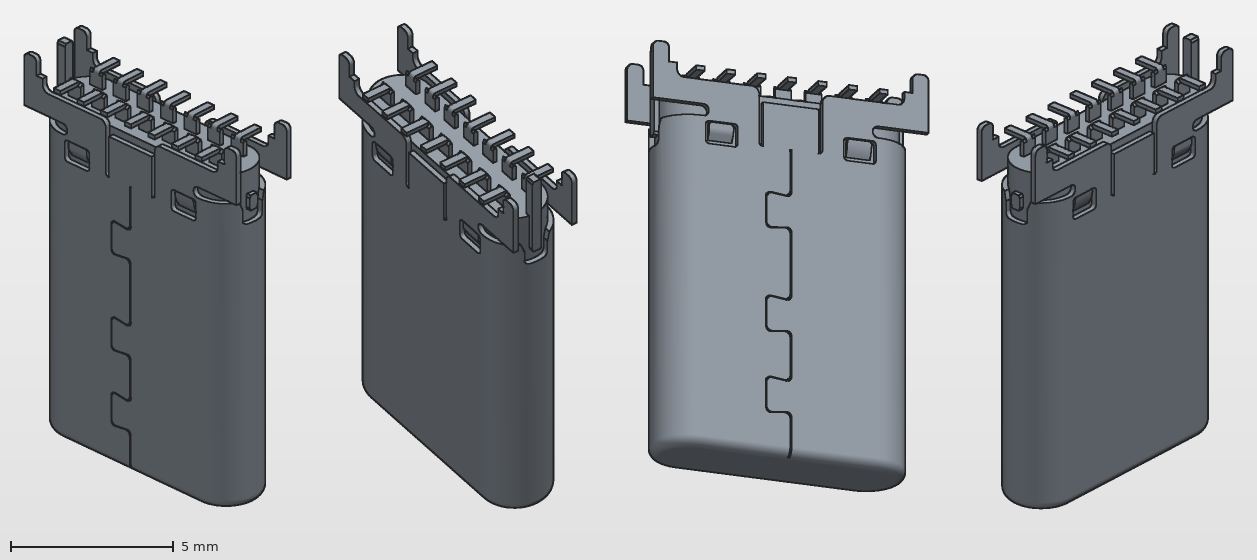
import cadquery as cq
import math

SHELL_WIDTH = 8.28
SHELL_DEPTH = 2.42
SHELL_TOP = 10.8
WALL = 0.18
FOOT_RADIUS = 0.3
CORE_TOP = 11.75
CORE_BOTTOM = 0.4
FACE_Y = SHELL_DEPTH / 2
CORE_Y = FACE_Y - WALL

EAR_HALF_SPAN = 4.53
EAR_TOP = 13.05
EAR_BOTTOM = 11.18
EAR_INNER_X = 4.0
EAR_TIP_RADIUS = 0.18
STEP_X = 3.74
STEP_Z = 12.42
RAIL_TOP = 11.97
RAIL_RADIUS = 0.24
RELIEF_X = 2.69

TONGUE_HALF_WIDTH = 0.91
TONGUE_TOP = 11.48
SLIT_WIDTH = 0.13
SLIT_BOTTOM = 10.05
SLIT_RADIUS = 0.12
SLIT_X = TONGUE_HALF_WIDTH + SLIT_WIDTH

WINDOW_CENTRE_X = 2.27
WINDOW_WIDTH = 1.05
WINDOW_HEIGHT = 0.75
WINDOW_RADIUS = 0.13
LEFT_WINDOW_TOP = 10.65
RIGHT_WINDOW_TOP = 10.68
BARB_WIDTH = 0.79
BARB_HEIGHT = 0.55
BARB_REACH = 0.16
BARB_GAP = 0.03
BARB_CORNER_RADIUS = 0.08
BARB_RAMP_HEIGHT = 0.21
BARB_RAMP_ANGLE = 30
BARB_FLAT = 0.2

SEAM_TOP = 10.05
SEAM_GAP = 0.05
TIP_GAP = 0.03
TOOTH_LENGTH = 0.79
TOOTH_ROOT_HALF = 0.5
TOOTH_TIP_HALF = 0.6
TOOTH_RADIUS = 0.16
TOOTH_CENTRES = (1.95, 4.61, 8.0)

NOTCH_BOTTOM = 9.98
NOTCH_HALF_WIDTH = 0.44
NOTCH_FLARE = 0.1
NOTCH_FLARE_HEIGHT = 0.29
NOTCH_RADIUS = 0.16

BLADE_OUTER_X = 4.1
BLADE_WIDTH = 0.34
BLADE_THICKNESS = 0.33
BLADE_BOTTOM = 10.39
LONG_BLADE_TOP = 13.2
SHORT_BLADE_TOP = 10.93
BLADE_BEVEL_WIDTH = 0.04
BLADE_BEVEL_HEIGHT = 0.09

PIN_COUNT = 7
PIN_PITCH = 1.0
PIN_THICKNESS = 0.15
LEG_INNER_Y = 0.41
LEG_WIDTH = 0.53
ARM_WIDTH = 0.28
ARM_REACH_Y = 1.32
ARM_TOP = 12.37
BEND_RADIUS = 0.12
PIN_EMBED = 0.26


def stadium(width, depth, bottom, top):
    """Upright prism with full-round ends, centred on the Z axis."""
    return cq.Workplane("XY").workplane(offset=bottom).slot2D(width, depth).extrude(top - bottom)


def box_between(x0, x1, y0, y1, z0, z1):
    """Box spanning the given limits."""
    return cq.Workplane("XY").box(x1 - x0, y1 - y0, z1 - z0, centered=False).translate((x0, y0, z0))


def front_sketch():
    """XZ sketch plane on the front face; extruding by -WALL fills the front wall."""
    return cq.Workplane("XZ", origin=(0, -FACE_Y, 0))


def mirrored_x(solid):
    """The solid together with its left-right mirror image."""
    return solid.union(solid.mirror("YZ"))


def front_and_back(solid):
    """The solid together with its front-to-back mirror image."""
    return solid.union(solid.mirror("XZ"))


def ear_plate():
    """Right half of the front wall above the shell, with its ear."""
    tip_cut = EAR_TIP_RADIUS * (1 - math.sqrt(0.5))
    rail_cut = RAIL_RADIUS * (1 - math.sqrt(0.5))
    return (
        front_sketch()
        .moveTo(0, SHELL_TOP)
        .lineTo(EAR_INNER_X, SHELL_TOP)
        .lineTo(EAR_INNER_X, EAR_BOTTOM)
        .lineTo(EAR_HALF_SPAN, EAR_BOTTOM)
        .lineTo(EAR_HALF_SPAN, EAR_TOP - EAR_TIP_RADIUS)
        .threePointArc(
            (EAR_HALF_SPAN - tip_cut, EAR_TOP - tip_cut),
            (EAR_HALF_SPAN - EAR_TIP_RADIUS, EAR_TOP),
        )
        .lineTo(EAR_INNER_X + EAR_TIP_RADIUS, EAR_TOP)
        .threePointArc(
            (EAR_INNER_X + tip_cut, EAR_TOP - tip_cut),
            (EAR_INNER_X, EAR_TOP - EAR_TIP_RADIUS),
        )
        .lineTo(EAR_INNER_X, STEP_Z)
        .lineTo(STEP_X, STEP_Z)
        .lineTo(STEP_X, RAIL_TOP + RAIL_RADIUS)
        .threePointArc(
            (STEP_X - rail_cut, RAIL_TOP + rail_cut),
            (STEP_X - RAIL_RADIUS, RAIL_TOP),
        )
        .lineTo(SLIT_X + RAIL_RADIUS, RAIL_TOP)
        .threePointArc(
            (SLIT_X + rail_cut, RAIL_TOP - rail_cut),
            (SLIT_X, RAIL_TOP - RAIL_RADIUS),
        )
        .lineTo(SLIT_X, TONGUE_TOP)
        .lineTo(0, TONGUE_TOP)
        .close()
        .extrude(-WALL)
    )


def ear_relief():
    """Round-ended slot that separates the ear from the shell top."""
    height = EAR_BOTTOM - SHELL_TOP
    length = 2 * (EAR_HALF_SPAN - RELIEF_X)
    return (
        front_sketch()
        .center(EAR_HALF_SPAN, SHELL_TOP + height / 2)
        .slot2D(length, height)
        .extrude(-WALL)
    )


def tongue_slit():
    """Slit beside the tongue, rounded at its outer lower corner."""
    return (
        box_between(TONGUE_HALF_WIDTH, SLIT_X, -FACE_Y, -CORE_Y, SLIT_BOTTOM, RAIL_TOP)
        .edges("|Y and >X and <Z")
        .fillet(SLIT_RADIUS)
    )


def window(centre_x, top):
    """Rounded rectangular opening through the front wall."""
    return (
        front_sketch()
        .center(centre_x, top - WINDOW_HEIGHT / 2)
        .rect(WINDOW_WIDTH, WINDOW_HEIGHT)
        .extrude(-WALL)
        .edges("|Y")
        .fillet(WINDOW_RADIUS)
    )


def barb_sketch(centre_x):
    """YZ sketch plane at the left side of a barb."""
    return cq.Workplane("YZ", origin=(centre_x - BARB_WIDTH / 2, 0, 0))


def stepped_barb(centre_x, top):
    """Barb with a flat front, a rounded edge and a straight ramp below."""
    bottom = top - BARB_HEIGHT
    slope = math.radians(BARB_RAMP_ANGLE)
    front_y = -CORE_Y - BARB_REACH
    ramp_y = -CORE_Y - BARB_RAMP_HEIGHT * math.tan(slope)
    return (
        barb_sketch(centre_x)
        .moveTo(-CORE_Y, bottom)
        .lineTo(-CORE_Y, top)
        .lineTo(front_y, top)
        .lineTo(front_y, top - BARB_FLAT)
        .tangentArcPoint((ramp_y, bottom + BARB_RAMP_HEIGHT), relative=False)
        .close()
        .extrude(BARB_WIDTH)
        .edges("|Y and >Z")
        .fillet(BARB_CORNER_RADIUS)
    )


def curved_barb(centre_x, top):
    """Barb whose front curves back into the core face."""
    radius = (BARB_REACH**2 + BARB_HEIGHT**2) / (2 * BARB_REACH)
    half_sweep = math.asin(BARB_HEIGHT / radius) / 2
    front_y = -CORE_Y - BARB_REACH
    return (
        barb_sketch(centre_x)
        .moveTo(-CORE_Y, top)
        .lineTo(front_y, top)
        .threePointArc(
            (front_y + radius * (1 - math.cos(half_sweep)), top - radius * math.sin(half_sweep)),
            (-CORE_Y, top - BARB_HEIGHT),
        )
        .close()
        .extrude(BARB_WIDTH)
        .edges("|Y and >Z")
        .fillet(BARB_CORNER_RADIUS)
    )


def notch():
    """Cutter for the flared notches in both shell ends."""
    return (
        cq.Workplane("YZ")
        .moveTo(-NOTCH_HALF_WIDTH, NOTCH_BOTTOM)
        .lineTo(NOTCH_HALF_WIDTH, NOTCH_BOTTOM)
        .lineTo(NOTCH_HALF_WIDTH, SHELL_TOP - NOTCH_FLARE_HEIGHT)
        .lineTo(NOTCH_HALF_WIDTH + NOTCH_FLARE, SHELL_TOP)
        .lineTo(-NOTCH_HALF_WIDTH - NOTCH_FLARE, SHELL_TOP)
        .lineTo(-NOTCH_HALF_WIDTH, SHELL_TOP - NOTCH_FLARE_HEIGHT)
        .close()
        .extrude(SHELL_WIDTH, both=True)
        .edges("|X and <Z")
        .fillet(NOTCH_RADIUS)
    )


def seam_edge(offset_x, tip_x, growth):
    """Points of one seam lip from bottom to top, running round every tooth."""
    points = [(offset_x, 0)]
    for z in TOOTH_CENTRES:
        points += [
            (offset_x, z - TOOTH_ROOT_HALF - growth),
            (tip_x, z - TOOTH_TIP_HALF - growth),
            (tip_x, z + TOOTH_TIP_HALF + growth),
            (offset_x, z + TOOTH_ROOT_HALF + growth),
        ]
    return points + [(offset_x, SEAM_TOP)]


def seam():
    """Narrow groove between the two interlocking edges of the shell wall."""
    socket_lip = seam_edge(-SEAM_GAP / 2, -TOOTH_LENGTH - TIP_GAP, TIP_GAP / 2)
    tooth_lip = seam_edge(SEAM_GAP / 2, -TOOTH_LENGTH, -TIP_GAP / 2)
    bend_zone = cq.selectors.BoxSelector(
        (-SHELL_WIDTH, -SHELL_DEPTH, TOOTH_RADIUS),
        (SHELL_WIDTH, SHELL_DEPTH, SEAM_TOP - TOOTH_RADIUS),
    )
    return (
        front_sketch()
        .polyline(socket_lip + tooth_lip[::-1])
        .close()
        .extrude(-WALL)
        .edges("|Y")
        .edges(bend_zone)
        .fillet(TOOTH_RADIUS)
    )


def blade(left_x, top):
    """Upright latch blade with bevelled front and back edges at its two ends."""
    half = BLADE_WIDTH / 2
    return (
        cq.Workplane("YZ", origin=(left_x, 0, 0))
        .polyline([
            (half - BLADE_BEVEL_WIDTH, BLADE_BOTTOM),
            (half, BLADE_BOTTOM + BLADE_BEVEL_HEIGHT),
            (half, top - BLADE_BEVEL_HEIGHT),
            (half - BLADE_BEVEL_WIDTH, top),
            (BLADE_BEVEL_WIDTH - half, top),
            (-half, top - BLADE_BEVEL_HEIGHT),
            (-half, BLADE_BOTTOM + BLADE_BEVEL_HEIGHT),
            (BLADE_BEVEL_WIDTH - half, BLADE_BOTTOM),
        ])
        .close()
        .extrude(BLADE_THICKNESS)
    )


def pin():
    """Terminal of the back row: wide leg, rounded bend and narrower arm pointing to +Y."""
    arm_bottom = ARM_TOP - PIN_THICKNESS
    leg_outer_y = LEG_INNER_Y + PIN_THICKNESS
    foot = CORE_TOP - PIN_EMBED
    arm = (
        box_between(-ARM_WIDTH / 2, ARM_WIDTH / 2, LEG_INNER_Y, ARM_REACH_Y, arm_bottom, ARM_TOP)
        .edges("|X and <Y and >Z")
        .fillet(BEND_RADIUS)
    )
    bend_shift = PIN_THICKNESS * math.sqrt(0.5)
    leg = (
        cq.Workplane("YZ", origin=(-LEG_WIDTH / 2, 0, 0))
        .moveTo(LEG_INNER_Y, foot)
        .lineTo(leg_outer_y, foot)
        .lineTo(leg_outer_y, arm_bottom)
        .lineTo(leg_outer_y - bend_shift, arm_bottom + bend_shift)
        .lineTo(LEG_INNER_Y, arm_bottom)
        .close()
        .extrude(LEG_WIDTH)
    )
    return arm.union(leg)


core = stadium(SHELL_WIDTH - 2 * WALL, SHELL_DEPTH - 2 * WALL, CORE_BOTTOM, CORE_TOP)
shell = stadium(SHELL_WIDTH, SHELL_DEPTH, 0, SHELL_TOP).faces("<Z").edges().fillet(FOOT_RADIUS)
shell = shell.cut(core).cut(notch())
shell = shell.union(front_and_back(mirrored_x(ear_plate())))
shell = shell.cut(front_and_back(mirrored_x(ear_relief().union(tongue_slit()))))
windows = window(-WINDOW_CENTRE_X, LEFT_WINDOW_TOP).union(window(WINDOW_CENTRE_X, RIGHT_WINDOW_TOP))
shell = shell.cut(front_and_back(windows)).cut(seam())

left_barb = stepped_barb(-WINDOW_CENTRE_X, LEFT_WINDOW_TOP - BARB_GAP)
right_barb = curved_barb(WINDOW_CENTRE_X, RIGHT_WINDOW_TOP - BARB_GAP)
core = core.union(front_and_back(left_barb.union(right_barb)))
core = core.union(blade(-BLADE_OUTER_X, LONG_BLADE_TOP))
core = core.union(blade(BLADE_OUTER_X - BLADE_THICKNESS, SHORT_BLADE_TOP))

for index in range(PIN_COUNT):
    pin_x = (index - (PIN_COUNT - 1) / 2) * PIN_PITCH
    core = core.union(front_and_back(pin().translate((pin_x, 0, 0))))

result = shell.union(core)